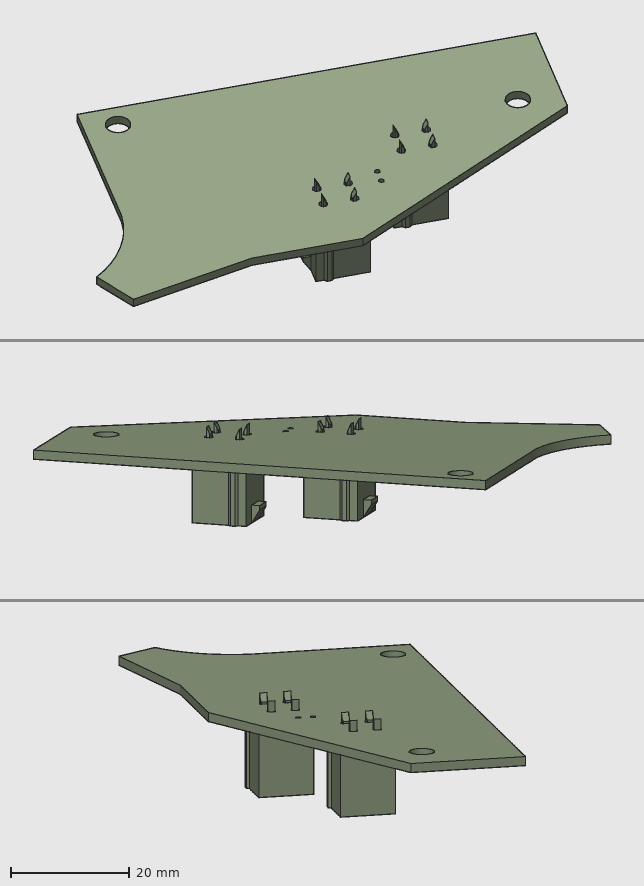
import cadquery as cq


BOARD_THICKNESS = 1.6
BOARD_HEIGHT = 80.5
TOP_EDGE_LENGTH = 20.0
SIDE_X = 44.6
SIDE_UPPER_Y = 37.8
SIDE_LOWER_Y = 18.3
TAIL_CORNER = (49.8, -3.9)
TAIL_TIP = (42.4, -8.35)
SCALLOP_START = (27.7, 0.1)
SCALLOP_RADIUS = 19.55

MOUNTING_HOLE_DIAMETER = 4.3
MOUNTING_HOLES = [(16.2, 72.9), (4.4, 5.95)]

SMALL_HOLE_DIAMETER = 0.9
SMALL_HOLE_PITCH = 2.6
SMALL_HOLES_CENTER = (29.4, 44.9)

CONNECTOR_CENTERS = [(21.8, 53.05), (31.9, 36.5)]

HOUSING_SIZE = 9.6
HOUSING_HEIGHT = 12.9

RIB_HEIGHT = 0.4
RIB_FRONT_OFFSET = 1.4
RIB_BASE_WIDTH = 1.7
RIB_TOP_WIDTH = 0.8

LATCH_WIDTH = 3.5
LATCH_DEPTH = 1.4
LATCH_HEIGHT = 3.1
LATCH_TIP_HEIGHT = 0.8

RELIEF_DEPTH = 0.3
RELIEF_LENGTH = 8.0

NOTCH_WIDTH = 1.95
NOTCH_PITCH = 4.0
NOTCH_HEIGHT = 0.8

PIN_HOLE_DIAMETER = 1.4
PIN_PITCH_X = 4.2
PIN_PITCH_Y = 5.5
PIN_WIDTH = 1.2
PIN_OUTER_OFFSET = 0.2
PIN_INNER_OFFSET = 0.5
PIN_TIP_HEIGHT = 1.8
PIN_SHOULDER_HEIGHT = 0.35

HALF_HOUSING = HOUSING_SIZE / 2


def pin_positions(center):
    """Axis positions of the 2 x 2 pins, each with the Y direction that points out of the grid."""
    return [
        (center[0] + side * PIN_PITCH_X / 2, center[1] + outward * PIN_PITCH_Y / 2, outward)
        for outward in (-1, 1)
        for side in (-1, 1)
    ]


def make_board():
    board = (
        cq.Workplane("XY")
        .moveTo(0, 0)
        .lineTo(0, BOARD_HEIGHT)
        .lineTo(TOP_EDGE_LENGTH, BOARD_HEIGHT)
        .lineTo(SIDE_X, SIDE_UPPER_Y)
        .lineTo(SIDE_X, SIDE_LOWER_Y)
        .lineTo(*TAIL_CORNER)
        .lineTo(*TAIL_TIP)
        .radiusArc(SCALLOP_START, -SCALLOP_RADIUS)
        .close()
        .extrude(BOARD_THICKNESS)
    )
    small_x, small_y = SMALL_HOLES_CENTER
    small_holes = [(small_x + side * SMALL_HOLE_PITCH / 2, small_y) for side in (-1, 1)]
    pin_holes = [(x, y) for center in CONNECTOR_CENTERS for x, y, _ in pin_positions(center)]
    for points, diameter in (
        (MOUNTING_HOLES, MOUNTING_HOLE_DIAMETER),
        (small_holes, SMALL_HOLE_DIAMETER),
        (pin_holes, PIN_HOLE_DIAMETER),
    ):
        holes = cq.Workplane("XY").pushPoints(points).circle(diameter / 2).extrude(BOARD_THICKNESS)
        board = board.cut(holes)
    return board


def make_side_rib(side):
    """Full-height trapezoid rib on the housing's left (-1) or right (+1) face."""
    base_x = side * HALF_HOUSING
    top_x = side * (HALF_HOUSING + RIB_HEIGHT)
    front_y = RIB_FRONT_OFFSET - HALF_HOUSING
    slope = (RIB_BASE_WIDTH - RIB_TOP_WIDTH) / 2
    return (
        cq.Workplane("XY")
        .polyline(
            [
                (base_x, front_y),
                (top_x, front_y + slope),
                (top_x, front_y + slope + RIB_TOP_WIDTH),
                (base_x, front_y + RIB_BASE_WIDTH),
            ]
        )
        .close()
        .extrude(-HOUSING_HEIGHT)
    )


def make_latch():
    """Ramp on the front face that rises from the housing's bottom edge to a flat shoulder."""
    bottom_z = -HOUSING_HEIGHT
    top_z = bottom_z + LATCH_HEIGHT
    tip_y = -HALF_HOUSING - LATCH_DEPTH
    return (
        cq.Workplane("YZ")
        .polyline(
            [
                (-HALF_HOUSING, bottom_z),
                (-HALF_HOUSING, top_z),
                (tip_y, top_z),
                (tip_y, top_z - LATCH_TIP_HEIGHT),
            ]
        )
        .close()
        .extrude(LATCH_WIDTH / 2, both=True)
    )


def make_housing():
    """Solid housing centred on the Z axis, with its top face against the board."""
    housing = cq.Workplane("XY").rect(HOUSING_SIZE, HOUSING_SIZE).extrude(-HOUSING_HEIGHT)
    for side in (-1, 1):
        housing = housing.union(make_side_rib(side))
    housing = housing.union(make_latch())

    relief_width = HOUSING_SIZE + 2 * RIB_HEIGHT
    relief = cq.Workplane("XY").rect(relief_width, RELIEF_LENGTH).extrude(-RELIEF_DEPTH)
    housing = housing.cut(relief)

    notch_length = HALF_HOUSING - PIN_PITCH_Y / 2 + NOTCH_WIDTH / 2
    for side in (-1, 1):
        notch = (
            cq.Workplane("XY")
            .center(side * NOTCH_PITCH / 2, -HALF_HOUSING + notch_length / 2)
            .rect(NOTCH_WIDTH, notch_length)
            .extrude(-NOTCH_HEIGHT)
        )
        housing = housing.cut(notch)
    return housing


def make_pin(x, y, outward):
    """Flat pin rooted at notch floor level, with a wedge tip and corners rounded to fit its hole."""
    outer_y = outward * PIN_OUTER_OFFSET
    inner_y = -outward * PIN_INNER_OFFSET
    tip_z = BOARD_THICKNESS + PIN_TIP_HEIGHT
    flat_bar = (
        cq.Workplane("YZ")
        .polyline(
            [
                (outer_y, -NOTCH_HEIGHT),
                (outer_y, tip_z),
                (inner_y, BOARD_THICKNESS + PIN_SHOULDER_HEIGHT),
                (inner_y, -NOTCH_HEIGHT),
            ]
        )
        .close()
        .extrude(PIN_WIDTH / 2, both=True)
    )
    hole_envelope = (
        cq.Workplane("XY")
        .workplane(offset=-NOTCH_HEIGHT)
        .circle(PIN_HOLE_DIAMETER / 2)
        .extrude(NOTCH_HEIGHT + tip_z)
    )
    return flat_bar.intersect(hole_envelope).translate((x, y, 0))


def make_connector(center):
    connector = make_housing().translate((center[0], center[1], 0))
    for x, y, outward in pin_positions(center):
        connector = connector.union(make_pin(x, y, outward))
    return connector


board = make_board()
connectors = [make_connector(center) for center in CONNECTOR_CENTERS]

result = cq.Compound.makeCompound([board.val(), *[connector.val() for connector in connectors]])